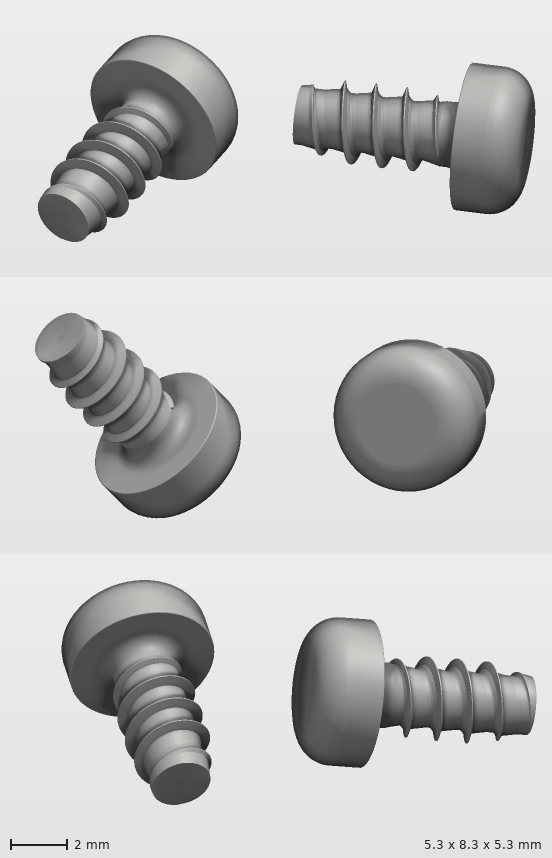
import cadquery as cq
import math

total_length = 8.3
head_height = 2.3
head_radius = 2.652
dome_radius = 1.145
head_edge_radius = 0.04

neck_radius = 1.17
neck_fillet = 0.5
neck_length = 0.74
core_radius = 1.04
core_taper_length = 0.58
shank_length = total_length - head_height

tip_dish_radius = 0.99
tip_dish_depth = 0.09

pitch = 1.12
thread_start = 0.7
root_radius = 1.14
crest_radius = 1.49
crest_width = 0.04
first_crest_radius = 1.27
lead_in_turns = 1
full_crest_end_turn = 3.25
end_crest_radius = 1.05
end_turn = 4.75
thread_turns = 5
segment_turns = 0.25
segment_spans = 6

buried_radius = 0.91
flank_root = (0.13, root_radius)
taper_end = (0.75, 1.03)
thread_profile = [
    (-0.265, buried_radius),
    (-0.32, 1.02),
    (-0.22, 1.07),
    (-0.11, 1.2),
    (-crest_width / 2, crest_radius),
    (crest_width / 2, crest_radius),
    flank_root,
    taper_end,
    (0.705, buried_radius),
]


def crest_limit(turn):
    """Crest radius, growing over the lead-in and fading to the core at the tip."""
    if turn < lead_in_turns:
        return first_crest_radius + (crest_radius - first_crest_radius) * turn / lead_in_turns
    if turn < full_crest_end_turn:
        return crest_radius
    fade = (turn - full_crest_end_turn) / (end_turn - full_crest_end_turn)
    return max(end_crest_radius, crest_radius - fade * (crest_radius - end_crest_radius))


def profile_point(corner, turn):
    """Place one profile corner at a given number of turns from +X toward +Z."""
    offset, radius = corner
    if offset < 0:
        height_ratio = (crest_limit(turn) - core_radius) / (crest_radius - core_radius)
        offset *= height_ratio
        if radius > core_radius:
            radius = core_radius + (radius - core_radius) * height_ratio
    radius = min(radius, crest_limit(turn))
    angle = 2 * math.pi * turn
    return cq.Vector(
        radius * math.cos(angle),
        -(thread_start + pitch * turn + offset),
        radius * math.sin(angle),
    )


def make_thread_segment(first_turn):
    """One solid piece of the ridge, with ruled faces between its corner helices."""
    turns = [first_turn + i * segment_turns / segment_spans for i in range(segment_spans + 1)]
    helices = [
        cq.Edge.makeSpline([profile_point(corner, turn) for turn in turns], parameters=turns)
        for corner in thread_profile
    ]
    following = helices[1:] + helices[:1]
    faces = [cq.Face.makeRuledSurface(a, b) for a, b in zip(helices, following)]
    for turn in (turns[0], turns[-1]):
        corners = [profile_point(corner, turn) for corner in thread_profile]
        faces.append(cq.Face.makeFromWires(cq.Wire.makePolygon(corners, close=True)))
    return cq.Solid.makeSolid(cq.Shell.makeShell(faces))


def add_thread(body):
    """Join the ridge to the core, segment by segment."""
    segment_count = round(thread_turns / segment_turns)
    segments = [make_thread_segment(i * segment_turns) for i in range(segment_count)]
    return cq.Workplane(body.val().fuse(*segments))


def make_body():
    """Head, filleted neck and core revolved about the screw axis."""
    diagonal = math.sqrt(0.5)
    dome_center = (head_radius - dome_radius, head_height - dome_radius)
    fillet_center = (neck_radius + neck_fillet, -neck_fillet)
    edge_center = (head_radius - head_edge_radius, head_edge_radius)
    return (
        cq.Workplane("XY")
        .moveTo(0, head_height)
        .lineTo(dome_center[0], head_height)
        .threePointArc(
            (dome_center[0] + dome_radius * diagonal, dome_center[1] + dome_radius * diagonal),
            (head_radius, dome_center[1]),
        )
        .lineTo(head_radius, head_edge_radius)
        .threePointArc(
            (edge_center[0] + head_edge_radius * diagonal, edge_center[1] - head_edge_radius * diagonal),
            (edge_center[0], 0),
        )
        .lineTo(fillet_center[0], 0)
        .threePointArc(
            (fillet_center[0] - neck_fillet * diagonal, fillet_center[1] + neck_fillet * diagonal),
            (neck_radius, -neck_fillet),
        )
        .lineTo(neck_radius, -neck_length)
        .lineTo(core_radius, -neck_length - core_taper_length)
        .lineTo(core_radius, -shank_length)
        .lineTo(0, -shank_length)
        .close()
        .revolve(360, (0, 0), (0, 1))
    )


def make_tip_cutter():
    """Space beyond the tip, with a shallow cone that dishes the end face."""
    cutter_radius = 2 * crest_radius
    cutter_length = 2 * pitch
    return (
        cq.Workplane("XY")
        .moveTo(0, -shank_length + tip_dish_depth)
        .lineTo(tip_dish_radius, -shank_length)
        .lineTo(cutter_radius, -shank_length)
        .lineTo(cutter_radius, -shank_length - cutter_length)
        .lineTo(0, -shank_length - cutter_length)
        .close()
        .revolve(360, (0, 0), (0, 1))
    )


result = add_thread(make_body()).cut(make_tip_cutter())